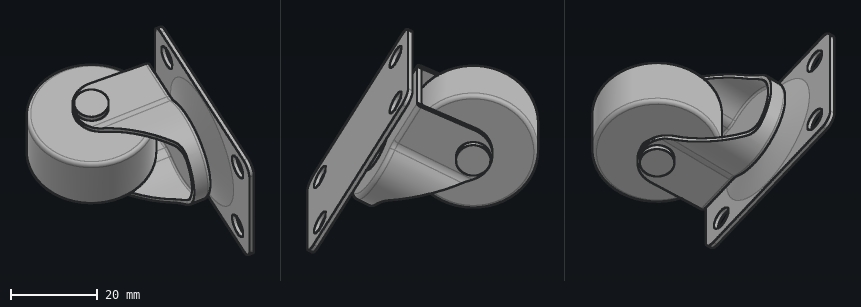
import cadquery as cq
import math


plate_length = 48.0
plate_width = 34.0
plate_thickness = 1.2
plate_corner_radius = 3.0
bolt_pitch_x = 36.0
bolt_pitch_z = 22.0
bolt_hole_diameter = 5.6
cone_base_radius = 16.0
cone_height = 2.4
stem_radius = 5.5

wheel_radius = 15.0
wheel_width = 15.0
wheel_edge_radius = 1.0
axle_radius = 4.0
axle_length = 23.0
axle_x = -13.65
axle_depth = 22.95

sheet_thickness = 1.2
fork_top_depth = 5.0
fork_round_radius = 12.5
arm_outer_z = 10.0
neck_radius = 3.2
fork_outer_edge_radius = 1.05
fork_inner_edge_radius = 0.5

fork_left_x = -19.25
arm_end_x = -13.0
arm_end_depth = 20.4
arm_end_radius = 7.0
skirt_depth = 9.6
skirt_corner_x = 6.4
skirt_corner_radius = 5.0

arm_inner_z = arm_outer_z - sheet_thickness
stem_end_depth = fork_top_depth
cone_end_depth = plate_thickness + cone_height
arm_end_bottom = arm_end_depth + arm_end_radius
blank_left_x = arm_end_x - 2 * arm_end_radius


def make_plate():
    """Plate with four bolt holes, a shallow cone and the swivel stem."""
    plate = (
        cq.Workplane("XZ")
        .rect(plate_length, plate_width)
        .extrude(plate_thickness)
        .edges("|Y")
        .fillet(plate_corner_radius)
    )
    bolt_holes = (
        cq.Workplane("XZ")
        .rect(bolt_pitch_x, bolt_pitch_z, forConstruction=True)
        .vertices()
        .circle(bolt_hole_diameter / 2)
        .extrude(plate_thickness)
    )
    cone_and_stem = (
        cq.Workplane("XY")
        .moveTo(0, 0)
        .lineTo(cone_base_radius, 0)
        .lineTo(cone_base_radius, -plate_thickness)
        .lineTo(stem_radius, -cone_end_depth)
        .lineTo(stem_radius, -stem_end_depth)
        .lineTo(0, -stem_end_depth)
        .close()
        .revolve(360, (0, 0, 0), (0, 1, 0))
    )
    return plate.union(cone_and_stem).cut(bolt_holes)


def make_keyhole(round_radius, arm_z, bend_radius, top_depth, edge_radius):
    """Block with straight arms at +-arm_z that bend smoothly into a round about the swivel axis."""
    bend_z = arm_z + bend_radius
    centre_distance = round_radius + bend_radius
    bend_x = -math.sqrt(centre_distance**2 - bend_z**2)
    join_x = bend_x * round_radius / centre_distance
    join_z = bend_z * round_radius / centre_distance
    half_angle = math.atan2(-bend_x, bend_z) / 2
    mid_x = bend_x + bend_radius * math.sin(half_angle)
    mid_z = bend_z - bend_radius * math.cos(half_angle)
    return (
        cq.Workplane("XZ", origin=(0, -top_depth, 0))
        .moveTo(blank_left_x, arm_z)
        .lineTo(bend_x, arm_z)
        .threePointArc((mid_x, mid_z), (join_x, join_z))
        .threePointArc((round_radius, 0), (join_x, -join_z))
        .threePointArc((mid_x, -mid_z), (bend_x, -arm_z))
        .lineTo(blank_left_x, -arm_z)
        .close()
        .extrude(arm_end_bottom - top_depth)
        .faces(">Y")
        .edges("not(<X)")
        .fillet(edge_radius)
    )


def arm_end_tangent(x, depth, side):
    """Point where a line from (x, depth) touches the arm end circle; side is +1 or -1."""
    dx = x - arm_end_x
    dy = arm_end_depth - depth
    angle = math.atan2(dy, dx) + side * math.acos(arm_end_radius / math.hypot(dx, dy))
    return (
        arm_end_x + arm_end_radius * math.cos(angle),
        -arm_end_depth + arm_end_radius * math.sin(angle),
    )


def make_side_outline():
    """Fork outline seen along the axle, extruded across the whole fork."""
    left_tangent = arm_end_tangent(fork_left_x, fork_top_depth, 1)
    right_tangent = arm_end_tangent(skirt_corner_x, skirt_depth, -1)
    outline = (
        cq.Workplane("XY")
        .moveTo(fork_left_x, -fork_top_depth)
        .lineTo(*left_tangent)
        .threePointArc((arm_end_x, -arm_end_bottom), right_tangent)
        .lineTo(skirt_corner_x, -skirt_depth)
        .lineTo(fork_round_radius, -skirt_depth)
        .lineTo(fork_round_radius, -fork_top_depth)
        .close()
        .extrude(fork_round_radius, both=True)
    )
    skirt_corner = cq.selectors.NearestToPointSelector((skirt_corner_x, -skirt_depth, 0))
    return outline.edges("|Z").edges(skirt_corner).fillet(skirt_corner_radius)


def make_axle():
    """Round bar on the axle line, centred on the wheel."""
    return (
        cq.Workplane("XY", origin=(axle_x, -axle_depth, -axle_length / 2))
        .circle(axle_radius)
        .extrude(axle_length)
    )


def make_fork():
    """Sheet shell between two keyhole blocks, trimmed to the side outline and bored for the axle."""
    outer = make_keyhole(
        fork_round_radius, arm_outer_z, neck_radius, fork_top_depth, fork_outer_edge_radius
    )
    inner = make_keyhole(
        fork_round_radius - sheet_thickness,
        arm_inner_z,
        neck_radius + sheet_thickness,
        fork_top_depth + sheet_thickness,
        fork_inner_edge_radius,
    )
    web_end = cq.Workplane("XY").box(
        fork_left_x - blank_left_x, sheet_thickness, 2 * arm_inner_z, centered=(False, False, True)
    ).translate((blank_left_x, -fork_top_depth - sheet_thickness, 0))
    shell = outer.cut(inner).cut(web_end)
    return shell.intersect(make_side_outline()).cut(make_axle())


def make_wheel():
    """Wheel with rounded rims and a bore that fits the axle."""
    wheel = (
        cq.Workplane("XY", origin=(axle_x, -axle_depth, -wheel_width / 2))
        .circle(wheel_radius)
        .extrude(wheel_width)
        .edges("%CIRCLE")
        .fillet(wheel_edge_radius)
    )
    return wheel.cut(make_axle())


plate = make_plate()
fork = make_fork()
wheel = make_wheel()
axle = make_axle()

result = cq.Compound.makeCompound(
    [plate.solids().val(), fork.solids().val(), wheel.solids().val(), axle.val()]
)